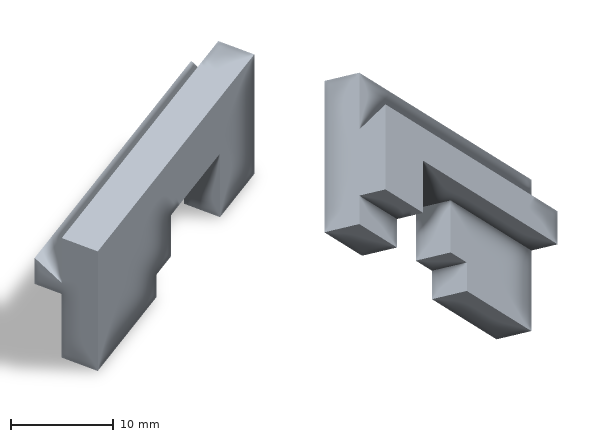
import cadquery as cq

length = 32.0
height = 16.0
total_depth = 7.0
plate_thickness = 4.0
rail_depth = total_depth - plate_thickness

foot_bottom = 3.0
rail_bottom = 8.5
rail_root = 10.0
rail_tip = 12.0

opening_low_start = 12.0
opening_high_start = 15.0
opening_end = 25.0
foot_length = length - opening_end


def make_plate():
    """Upright plate with a stepped opening in its lower edge."""
    outline = [
        (0, 0),
        (opening_low_start, 0),
        (opening_low_start, foot_bottom),
        (opening_high_start, foot_bottom),
        (opening_high_start, rail_bottom),
        (opening_end, rail_bottom),
        (opening_end, 0),
        (length, 0),
        (length, height),
        (0, height),
    ]
    return cq.Workplane("YZ").polyline(outline).close().extrude(plate_thickness)


def make_rail():
    """Full-length rail on the -X face, its top sloping down to the plate."""
    profile = [
        (0, rail_bottom),
        (-rail_depth, rail_bottom),
        (-rail_depth, rail_tip),
        (0, rail_root),
    ]
    return cq.Workplane("XZ").polyline(profile).close().extrude(-length)


def make_foot():
    """Block under the rail at the +Y end."""
    foot_height = rail_bottom - foot_bottom
    return cq.Workplane("XY").box(
        rail_depth, foot_length, foot_height, centered=False
    ).translate((-rail_depth, opening_end, foot_bottom))


result = make_plate().union(make_rail()).union(make_foot()).clean()